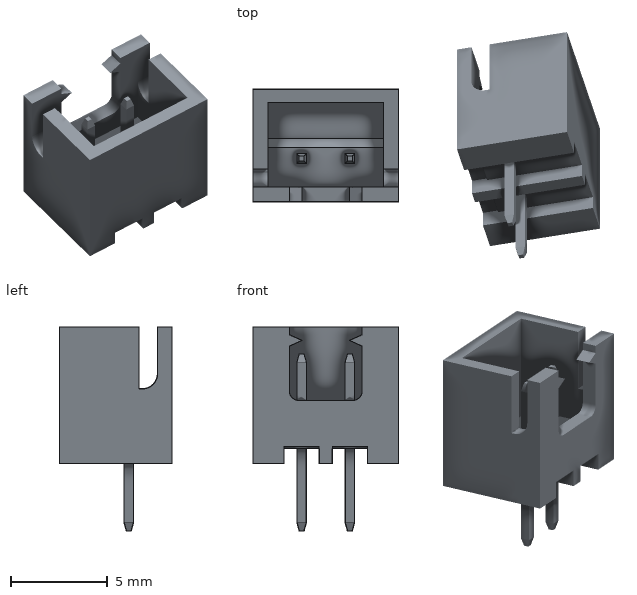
import cadquery as cq

HOUSING_LENGTH = 7.54
HOUSING_DEPTH = 5.85
HOUSING_HEIGHT = 7.08

CAVITY_LENGTH = 6.0
FRONT_WALL = 0.77
BACK_WALL = 0.70
FRONT_FLOOR_Z = 2.08
FLOOR_STEP_DROP = 0.5
FLOOR_STEP_FRONT_Y = 2.82
FLOOR_STEP_BACK_Y = 3.30

WINDOW_WIDTH = 3.78
WINDOW_BOTTOM_Z = 3.27
WINDOW_CORNER_RADIUS = 0.5
TOOTH_LENGTH = 0.66
TOOTH_HEIGHT = 0.6
TOOTH_TIP_DROP = 0.7

SIDE_SLOT_WIDTH = 0.95
SIDE_SLOT_DEPTH = 3.2
SIDE_SLOT_RADIUS = 0.77

PIN_PITCH = 2.5
PIN_COUNT = 2
PIN_Y = 2.25
PIN_WIDTH = 0.5
PIN_TIP_WIDTH = 0.25
PIN_TIP_LENGTH = 0.45
PIN_TOP_Z = 5.68
PIN_BOTTOM_Z = -3.5

CHANNEL_WIDTH = 1.81
CHANNEL_FRONT_HEIGHT = 0.89
CHANNEL_BACK_HEIGHT = 0.77
CHANNEL_SLOPE_LENGTH = 0.05

PIN_POSITIONS = [(i - (PIN_COUNT - 1) / 2) * PIN_PITCH for i in range(PIN_COUNT)]


def make_block():
    return cq.Workplane("XY").box(
        HOUSING_LENGTH, HOUSING_DEPTH, HOUSING_HEIGHT, centered=(True, False, False)
    )


def side_plane(length):
    """Plane in Y and Z at the -X end of a centred extrusion of the given length."""
    return cq.Workplane("YZ", origin=(-length / 2, 0, 0))


def make_cavity():
    back_y = HOUSING_DEPTH - BACK_WALL
    back_floor_z = FRONT_FLOOR_Z - FLOOR_STEP_DROP
    outline = [
        (FRONT_WALL, HOUSING_HEIGHT),
        (FRONT_WALL, FRONT_FLOOR_Z),
        (FLOOR_STEP_FRONT_Y, FRONT_FLOOR_Z),
        (FLOOR_STEP_BACK_Y, back_floor_z),
        (back_y, back_floor_z),
        (back_y, HOUSING_HEIGHT),
    ]
    return side_plane(CAVITY_LENGTH).polyline(outline).close().extrude(CAVITY_LENGTH)


def make_tooth(side):
    """Tooth solid on the window edge at side = -1 or +1."""
    edge_x = side * WINDOW_WIDTH / 2
    tip_z = HOUSING_HEIGHT - TOOTH_TIP_DROP
    outline = [
        (edge_x, tip_z + TOOTH_HEIGHT / 2),
        (edge_x - side * TOOTH_LENGTH, tip_z),
        (edge_x, tip_z - TOOTH_HEIGHT / 2),
    ]
    return cq.Workplane("XZ").polyline(outline).close().extrude(-FRONT_WALL)


def make_window():
    window = (
        cq.Workplane("XY", origin=(0, 0, WINDOW_BOTTOM_Z))
        .box(WINDOW_WIDTH, FRONT_WALL, HOUSING_HEIGHT - WINDOW_BOTTOM_Z, centered=(True, False, False))
        .edges("|Y and <Z")
        .fillet(WINDOW_CORNER_RADIUS)
    )
    for side in (-1, 1):
        window = window.cut(make_tooth(side))
    return window


def make_side_slots():
    return (
        cq.Workplane("XY", origin=(0, FRONT_WALL, HOUSING_HEIGHT - SIDE_SLOT_DEPTH))
        .box(HOUSING_LENGTH, SIDE_SLOT_WIDTH, SIDE_SLOT_DEPTH, centered=(True, False, False))
        .edges("|X and <Z and <Y")
        .fillet(SIDE_SLOT_RADIUS)
    )


def make_channel(pin_x):
    outline = [
        (0, 0),
        (HOUSING_DEPTH, 0),
        (HOUSING_DEPTH, CHANNEL_BACK_HEIGHT),
        (FRONT_WALL + CHANNEL_SLOPE_LENGTH, CHANNEL_BACK_HEIGHT),
        (FRONT_WALL, CHANNEL_FRONT_HEIGHT),
        (0, CHANNEL_FRONT_HEIGHT),
    ]
    channel = side_plane(CHANNEL_WIDTH).polyline(outline).close().extrude(CHANNEL_WIDTH)
    return channel.translate((pin_x, 0, 0))


def make_pin_tip(pin_x, base_z, tip_z):
    """Square taper from the full pin width at base_z to the tip width at tip_z."""
    return (
        cq.Workplane("XY", origin=(pin_x, PIN_Y, base_z))
        .rect(PIN_WIDTH, PIN_WIDTH)
        .workplane(offset=tip_z - base_z)
        .rect(PIN_TIP_WIDTH, PIN_TIP_WIDTH)
        .loft(ruled=True)
    )


def make_pin(pin_x):
    shaft_bottom_z = PIN_BOTTOM_Z + PIN_TIP_LENGTH
    shaft_top_z = PIN_TOP_Z - PIN_TIP_LENGTH
    shaft = (
        cq.Workplane("XY", origin=(pin_x, PIN_Y, shaft_bottom_z))
        .rect(PIN_WIDTH, PIN_WIDTH)
        .extrude(shaft_top_z - shaft_bottom_z)
    )
    top_tip = make_pin_tip(pin_x, shaft_top_z, PIN_TOP_Z)
    bottom_tip = make_pin_tip(pin_x, shaft_bottom_z, PIN_BOTTOM_Z)
    return shaft.union(top_tip).union(bottom_tip)


result = make_block().cut(make_cavity()).cut(make_window()).cut(make_side_slots())
for pin_position in PIN_POSITIONS:
    result = result.cut(make_channel(pin_position))
for pin_position in PIN_POSITIONS:
    result = result.union(make_pin(pin_position))